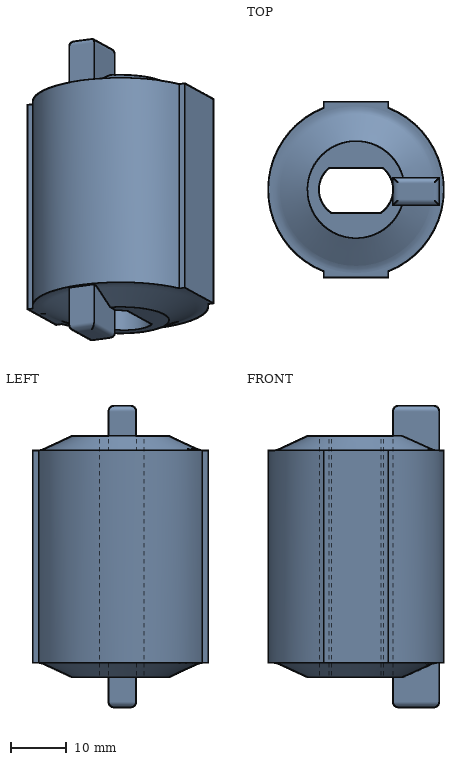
import cadquery as cq
import math

total_length = 54.0
body_diameter = 31.5
body_length = 38.0

cone_top_radius = 8.7
cone_base_radius = 14.25
cone_end_length = 43.2
blend_radius = 3.0

pad_width = 11.55

bore_length = 13.25
bore_end_radius = 5.0
bore_flat_gap = 8.0
bore_offset_y = -0.15

tab_inner_x = 6.6
tab_outer_x = 14.9
tab_width = 4.95
tab_offset_y = -0.3
tab_edge_radius = 1.0


def make_body():
    """Cylinder crossed by a bar whose ends form the two flat pads."""
    cylinder = cq.Workplane("XY").circle(body_diameter / 2).extrude(body_length / 2, both=True)
    pads = cq.Workplane("XY").box(pad_width, body_diameter, body_length)
    return cylinder.union(pads)


def make_top_cone():
    """Cone with a concave arc tangent to its flank and to the body's end face."""
    base_z = body_length / 2
    top_z = cone_end_length / 2
    slope = math.atan2(top_z - base_z, cone_base_radius - cone_top_radius)
    tangent_length = blend_radius * math.tan(slope / 2)
    blend_outer_r = cone_base_radius + tangent_length
    blend_inner_r = cone_base_radius - tangent_length * math.cos(slope)
    blend_inner_z = base_z + tangent_length * math.sin(slope)
    blend_middle_r = blend_outer_r - blend_radius * math.sin(slope / 2)
    blend_middle_z = base_z + blend_radius * (1 - math.cos(slope / 2))
    return (
        cq.Workplane("XZ")
        .moveTo(0, 0)
        .lineTo(blend_outer_r, 0)
        .lineTo(blend_outer_r, base_z)
        .threePointArc((blend_middle_r, blend_middle_z), (blend_inner_r, blend_inner_z))
        .lineTo(cone_top_radius, top_z)
        .lineTo(0, top_z)
        .close()
        .revolve(360, (0, 0, 0), (0, 1, 0))
    )


def make_bore():
    """Through hole with rounded ends along X and two flats parallel to X."""
    rounded_slot = (
        cq.Workplane("XY")
        .slot2D(bore_length, 2 * bore_end_radius)
        .extrude(total_length / 2, both=True)
    )
    flats = (
        cq.Workplane("XY")
        .box(bore_length, bore_flat_gap, total_length)
        .translate((0, bore_offset_y, 0))
    )
    return rounded_slot.intersect(flats)


def make_top_tab():
    """Rectangular tab rising from the body's end face, rounded around its tip."""
    tab_length = tab_outer_x - tab_inner_x
    tab_height = (total_length - body_length) / 2
    return (
        cq.Workplane("XY")
        .box(tab_length, tab_width, tab_height, centered=(False, True, False))
        .faces(">Z")
        .edges()
        .fillet(tab_edge_radius)
        .translate((tab_inner_x, tab_offset_y, body_length / 2))
    )


top_cone = make_top_cone()
top_tab = make_top_tab()
result = make_body().union(top_cone).union(top_cone.mirror("XY")).cut(make_bore())
result = result.union(top_tab).union(top_tab.mirror("XY"))